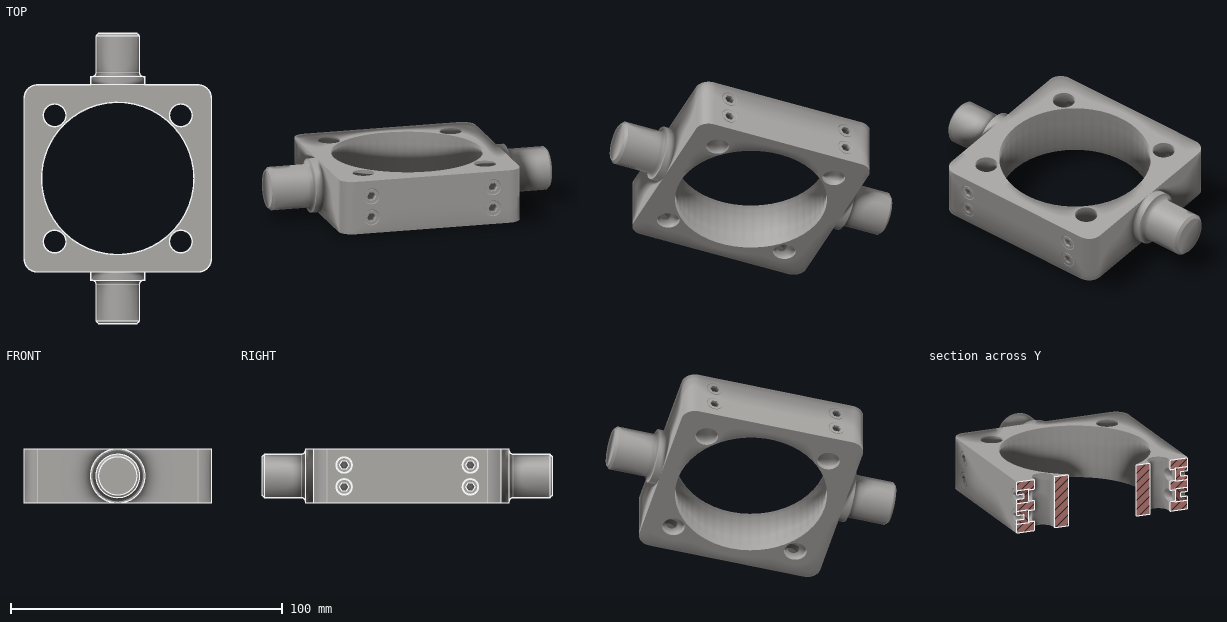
import cadquery as cq
import math

SIDE = 69.0
HEIGHT = 20.0
CORNER_RADIUS = 5.0
BORE_DIAMETER = 56.0

BOLT_HOLE_DIAMETER = 8.2
BOLT_OFFSET = 23.2

OVERALL_LENGTH = 107.0
COLLAR_DIAMETER = HEIGHT
COLLAR_HEIGHT = 3.0
TRUNNION_DIAMETER = 16.0
ROOT_FILLET = 1.5
END_CHAMFER = 1.0

SCREW_DIAMETER = 5.5
SCREW_LENGTH = 5.0
COUNTERSINK_DIAMETER = 6.0
CORE_HOLE_DIAMETER = 4.9
SCREW_SPACING_Z = 8.0
HEX_ACROSS_FLATS = 3.0
HEX_DEPTH = 3.0

HALF_SIDE = SIDE / 2
COUNTERSINK_DEPTH = (COUNTERSINK_DIAMETER - SCREW_DIAMETER) / 2
SCREW_OFFSET_Z = SCREW_SPACING_Z / 2
HEX_ACROSS_CORNERS = HEX_ACROSS_FLATS / math.cos(math.radians(30))


def make_trunnion(direction):
    """Stepped round stub on the Y face that points along direction (+1 or -1)."""
    pin_start = HALF_SIDE + COLLAR_HEIGHT
    pin_end = OVERALL_LENGTH / 2
    pin_radius = TRUNNION_DIAMETER / 2
    collar_radius = COLLAR_DIAMETER / 2
    fillet_middle = ROOT_FILLET * (1 - math.cos(math.radians(45)))
    profile = (
        cq.Workplane("XY")
        .moveTo(0, HALF_SIDE)
        .lineTo(collar_radius, HALF_SIDE)
        .lineTo(collar_radius, pin_start)
        .lineTo(pin_radius + ROOT_FILLET, pin_start)
        .threePointArc(
            (pin_radius + fillet_middle, pin_start + fillet_middle),
            (pin_radius, pin_start + ROOT_FILLET),
        )
        .lineTo(pin_radius, pin_end - END_CHAMFER)
        .lineTo(pin_radius - END_CHAMFER, pin_end)
        .lineTo(0, pin_end)
        .close()
    )
    trunnion = profile.revolve(360, (0, 0, 0), (0, 1, 0))
    return trunnion if direction > 0 else trunnion.mirror("XZ")


def screw_positions():
    """(side, y, z) of every set screw; side is the sign of its X face."""
    return [
        (side, y, z)
        for side in (-1, 1)
        for y in (-BOLT_OFFSET, BOLT_OFFSET)
        for z in (-SCREW_OFFSET_Z, SCREW_OFFSET_Z)
    ]


def inward_plane(side, y, z):
    """Plane on an X face with its normal pointing into the housing and its x along Y."""
    return cq.Workplane(cq.Plane(origin=(side * HALF_SIDE, y, z), xDir=(0, 1, 0), normal=(-side, 0, 0)))


def cut_screw_hole(housing, position):
    """Housing with one countersunk screw seat and its core hole, open into the bolt hole behind."""
    face = inward_plane(*position)
    seat = face.circle(SCREW_DIAMETER / 2).extrude(SCREW_LENGTH)
    core_hole = face.circle(CORE_HOLE_DIAMETER / 2).extrude(HALF_SIDE - BOLT_OFFSET)
    countersink = (
        face.circle(COUNTERSINK_DIAMETER / 2)
        .workplane(offset=COUNTERSINK_DEPTH)
        .circle(SCREW_DIAMETER / 2)
        .loft()
    )
    return housing.cut(core_hole).cut(seat).cut(countersink)


def make_housing():
    """Square ring with both trunnions, the bore, the bolt holes and the screw holes."""
    housing = cq.Workplane("XY").box(SIDE, SIDE, HEIGHT).edges("|Z").fillet(CORNER_RADIUS)
    for direction in (-1, 1):
        housing = housing.union(make_trunnion(direction))
    bore = cq.Workplane("XY").circle(BORE_DIAMETER / 2).extrude(HEIGHT / 2, both=True)
    bolt_holes = (
        cq.Workplane("XY")
        .rect(2 * BOLT_OFFSET, 2 * BOLT_OFFSET, forConstruction=True)
        .vertices()
        .circle(BOLT_HOLE_DIAMETER / 2)
        .extrude(HEIGHT / 2, both=True)
    )
    housing = housing.cut(bore).cut(bolt_holes)
    for position in screw_positions():
        housing = cut_screw_hole(housing, position)
    return housing


def make_set_screw(side, y, z):
    """Set screw flush with the X face: hex socket outside, plain flat tip inside."""
    face = inward_plane(side, y, z)
    screw = face.circle(SCREW_DIAMETER / 2).extrude(SCREW_LENGTH)
    socket = face.polygon(6, HEX_ACROSS_CORNERS).extrude(HEX_DEPTH)
    return screw.cut(socket)


housing = make_housing()
set_screws = [make_set_screw(*position) for position in screw_positions()]

result = cq.Compound.makeCompound([housing.val(), *[screw.val() for screw in set_screws]])